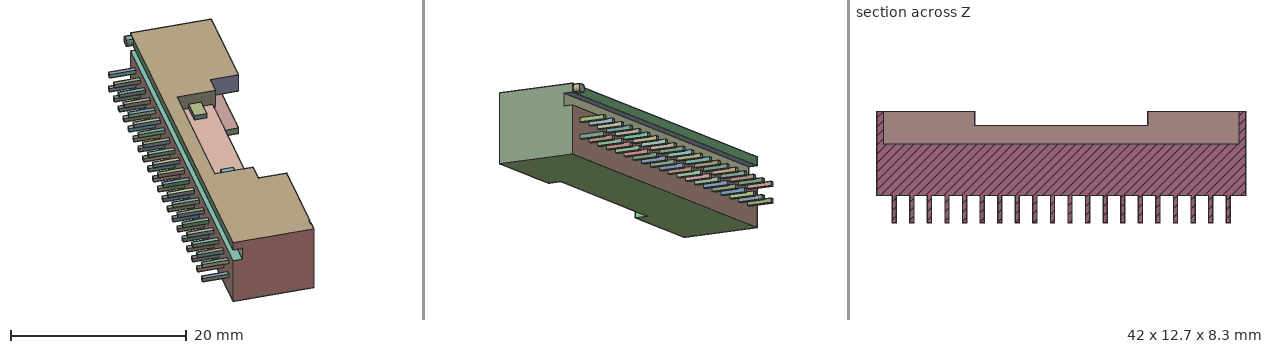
import cadquery as cq


body_length = 42.0
body_depth = 9.6
body_height = 8.3
half_length = body_length / 2

top_wall = 2.3
thin_wall = 0.8
cavity_floor_y = 5.9
cavity_bottom_z = thin_wall
cavity_top_z = body_height - top_wall

mouth_length = 19.65
lower_mouth_y = 8.0
upper_mouth_y = 6.25

window_length = 15.35
window_front_y = 1.7
window_floor_z = 6.4
tab_length = 2.3
tab_width = 1.5
tab_height = 0.6
tab_center_y = 3.8

groove_depth = 1.1
groove_bottom_z = 5.75
groove_top_z = 7.25

pin_columns = 20
pin_pitch = 2.0
pin_size = 0.5
pin_reach = 3.1
pin_row_heights = (2.4, 4.37)

peg_radius = 0.6
peg_height = 0.9
peg_reach = 0.8
peg_inset = 0.78
peg_center_x = peg_inset - half_length
peg_top_gap = 0.05
peg_center_z = body_height - peg_top_gap - peg_height / 2

mark_width = 0.5
mark_depth = 0.1
mark_inset = 1.5
mark_center_x = half_length - mark_inset


def block(x_range, y_range, z_range):
    """Axis-aligned box between the given limits."""
    (x0, x1), (y0, y1), (z0, z1) = x_range, y_range, z_range
    return cq.Workplane("XY").box(x1 - x0, y1 - y0, z1 - z0, centered=False).translate((x0, y0, z0))


def centered_span(length, center=0.0):
    """Limits of a stretch of the given length about its center."""
    return (center - length / 2, center + length / 2)


def housing():
    """Plain block hollowed by the cavity and grooved along the pin side."""
    body = block(centered_span(body_length), (0, body_depth), (0, body_height))
    cavity = block(
        centered_span(body_length - 2 * thin_wall),
        (cavity_floor_y, body_depth),
        (cavity_bottom_z, cavity_top_z),
    )
    groove = block(centered_span(body_length), (0, groove_depth), (groove_bottom_z, groove_top_z))
    return body.cut(cavity).cut(groove)


def mouth_cuts():
    """Cut-backs of the upper and lower cavity walls at mid-length."""
    mouth_span = centered_span(mouth_length)
    upper = block(mouth_span, (upper_mouth_y, body_depth), (cavity_top_z, body_height))
    lower = block(mouth_span, (lower_mouth_y, body_depth), (0, cavity_bottom_z))
    return upper.union(lower)


def latch_window():
    """Recess in the top wall, running out over the cavity into the mouth."""
    window_span = centered_span(window_length)
    recess = block(window_span, (window_front_y, cavity_floor_y), (window_floor_z, body_height))
    run_out = block(window_span, (cavity_floor_y, upper_mouth_y), (cavity_top_z, body_height))
    return recess.union(run_out)


def latch_tabs():
    """Two low tabs on the window floor, one against each end."""
    tabs = cq.Workplane("XY")
    for side in (-1, 1):
        tab_center_x = side * (window_length - tab_length) / 2
        tabs = tabs.union(
            block(
                centered_span(tab_length, tab_center_x),
                centered_span(tab_width, tab_center_y),
                (window_floor_z, window_floor_z + tab_height),
            )
        )
    return tabs


def pins():
    """Two rows of square pins standing out of the pin side."""
    first_pin_x = -(pin_columns - 1) * pin_pitch / 2
    centers = []
    for row_z in pin_row_heights:
        for column in range(pin_columns):
            centers.append((first_pin_x + column * pin_pitch, row_z))
    return cq.Workplane("XZ").pushPoints(centers).rect(pin_size, pin_size).extrude(pin_reach)


def locating_peg():
    """Flattened round peg at the upper -X corner of the pin side."""
    cylinder = (
        cq.Workplane("XZ")
        .center(peg_center_x, peg_center_z)
        .circle(peg_radius)
        .extrude(peg_reach)
    )
    flats = block(
        centered_span(2 * peg_radius, peg_center_x),
        (-peg_reach, 0),
        centered_span(peg_height, peg_center_z),
    )
    return cylinder.intersect(flats)


def edge_mark():
    """Shallow notch across the upper wall at the +X end of the mating side."""
    return block(
        centered_span(mark_width, mark_center_x),
        (body_depth - mark_depth, body_depth),
        (cavity_top_z, body_height),
    )


result = housing().cut(mouth_cuts()).cut(latch_window()).cut(edge_mark())
result = result.union(latch_tabs()).union(pins()).union(locating_peg())